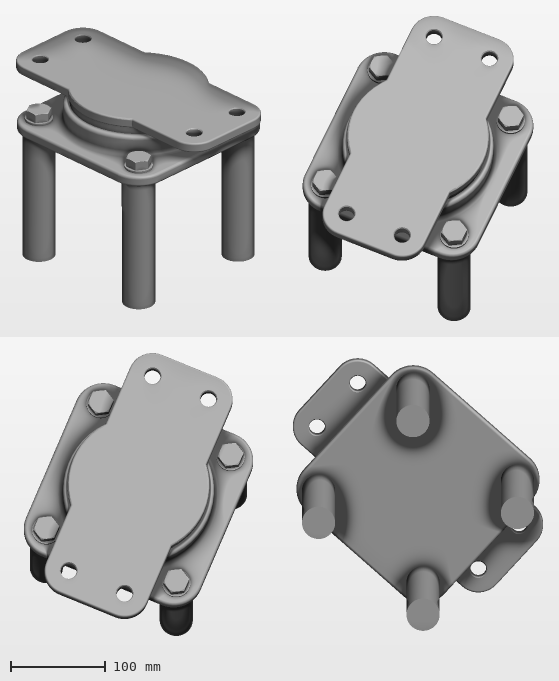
import cadquery as cq
import math

total_height = 203.0
leg_length = 150.0
base_thickness = 12.0
body_height = 22.0
top_thickness = 11.0

base_bottom = leg_length
base_top = base_bottom + base_thickness
body_top = base_top + body_height
plate_bottom = total_height - top_thickness
neck_height = plate_bottom - body_top

base_side = 200.0
base_corner_radius = 31.0
base_edge_fillet = 3.0
leg_diameter = 35.0
bolt_spacing = 149.0

body_diameter = 160.0
body_root_fillet = 5.0
body_rim_fillet = 4.0
neck_diameter = 146.0

plate_length = 281.0
plate_width = 115.2
plate_corner_radius = 25.5
plate_disc_diameter = 150.0
plate_edge_fillet = 2.0
plate_hole_diameter = 17.0
plate_hole_chamfer = 1.0

washer_diameter = 30.0
washer_thickness = 2.5
head_across_flats = 24.0
head_height = 10.0
head_chamfer_angle = 25.0


def disc(diameter, bottom, height):
    """Upright cylinder on the Z axis."""
    return cq.Workplane("XY").workplane(offset=bottom).circle(diameter / 2).extrude(height)


def rounded_plate(length, width, corner_radius, bottom, thickness):
    """Flat rectangular plate with rounded vertical corners."""
    blank = cq.Workplane("XY").workplane(offset=bottom).rect(length, width).extrude(thickness)
    return blank.edges("|Z").fillet(corner_radius)


def make_base():
    """Base plate with both rims rounded."""
    plate = rounded_plate(base_side, base_side, base_corner_radius, base_bottom, base_thickness)
    return plate.faces("<Z or >Z").edges().fillet(base_edge_fillet)


def make_body():
    """Body with a rounded rim and a flared root, topped by the neck, as one turned profile."""
    body_radius = body_diameter / 2
    profile = (
        cq.Workplane("XZ")
        .moveTo(0, base_top)
        .lineTo(body_radius + body_root_fillet, base_top)
        .radiusArc((body_radius, base_top + body_root_fillet), body_root_fillet)
        .lineTo(body_radius, body_top - body_rim_fillet)
        .radiusArc((body_radius - body_rim_fillet, body_top), -body_rim_fillet)
        .lineTo(0, body_top)
        .close()
    )
    body = profile.revolve(360, (0, 0, 0), (0, 1, 0))
    return body.union(disc(neck_diameter, body_top, neck_height))


def make_top_plate():
    """Top plate with rounded rims and a chamfered through hole concentric with each corner."""
    plate = rounded_plate(plate_length, plate_width, plate_corner_radius, plate_bottom, top_thickness)
    plate = plate.union(disc(plate_disc_diameter, plate_bottom, top_thickness))

    hole_spacing_x = plate_length - 2 * plate_corner_radius
    hole_spacing_y = plate_width - 2 * plate_corner_radius
    plate = (
        plate.faces("<Z or >Z")
        .edges()
        .fillet(plate_edge_fillet)
        .faces(">Z")
        .workplane(origin=(0, 0, 0))
        .rarray(hole_spacing_x, hole_spacing_y, 2, 2)
        .hole(plate_hole_diameter)
    )
    hole_rims = plate.faces("<Z or >Z").edges(cq.selectors.RadiusNthSelector(0))
    return hole_rims.chamfer(plate_hole_chamfer)


def make_leg_and_bolt():
    """One leg, and the washer with chamfered hexagon head above it, centred on the Z axis."""
    washer_top = base_top + washer_thickness
    head_top = washer_top + head_height
    across_corners = 2 * head_across_flats / math.sqrt(3)
    head = (
        cq.Workplane("XY")
        .workplane(offset=washer_top)
        .polygon(6, across_corners)
        .extrude(head_height)
    )
    cone_slope = math.tan(math.radians(head_chamfer_angle))
    cone_rise = head_across_flats / 2 * cone_slope
    cone_base_radius = 2 * head_across_flats
    cone_base = head_top + cone_rise - cone_base_radius * cone_slope
    trimming_cone = (
        cq.Workplane("XZ")
        .moveTo(0, cone_base)
        .lineTo(cone_base_radius, cone_base)
        .lineTo(0, head_top + cone_rise)
        .close()
        .revolve(360, (0, 0, 0), (0, 1, 0))
    )
    leg = disc(leg_diameter, 0, leg_length)
    washer = disc(washer_diameter, base_top, washer_thickness)
    return leg, washer.union(head.intersect(trimming_cone))


result = make_base().union(make_body()).union(make_top_plate())
leg, bolt = make_leg_and_bolt()
for side_x in (-1, 1):
    for side_y in (-1, 1):
        corner = (side_x * bolt_spacing / 2, side_y * bolt_spacing / 2, 0)
        result = result.union(leg.translate(corner)).union(bolt.translate(corner))